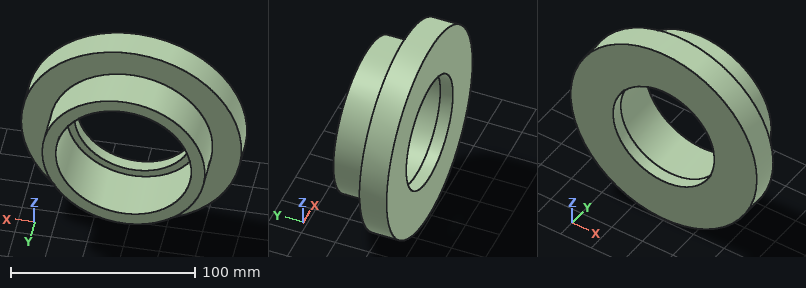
import cadquery as cq

flange_diameter = 122.0
hub_diameter = 90.0
bore_diameter = 66.2
counterbore_diameter = 75.0

total_length = 38.0
flange_thickness = 16.0
lip_length = 7.5

front_y = 0.0


def cylinder(diameter, start_y, length):
    """Solid cylinder along +Y from start_y."""
    plane = cq.Workplane("XZ", origin=(0, start_y, 0))
    return plane.circle(diameter / 2).extrude(-length)


flange = cylinder(flange_diameter, front_y, flange_thickness)
hub = cylinder(hub_diameter, front_y, total_length)
bore = cylinder(bore_diameter, front_y, total_length)

counterbore = cylinder(counterbore_diameter, front_y + lip_length, total_length - lip_length)

result = flange.union(hub).cut(bore).cut(counterbore)